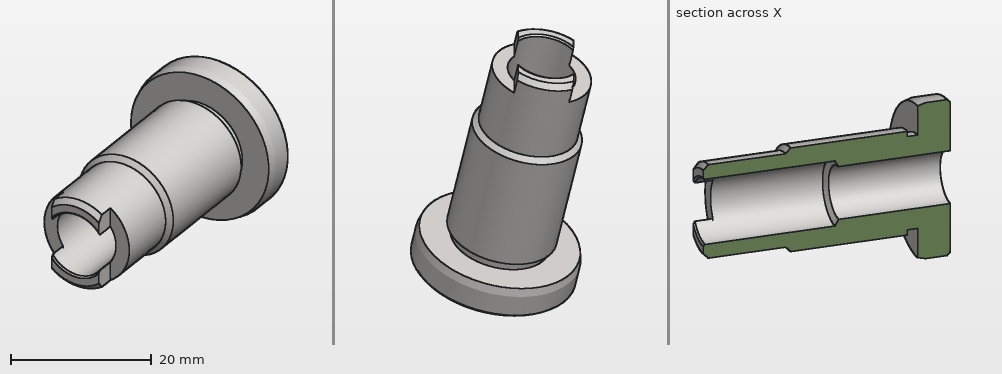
import cadquery as cq
import math

length = 37.5
head_length = 5.0
neck_length = 1.55
body_end = 25.0
body_chamfer = 0.8
floor_station = 34.5

head_radius = 12.0
body_radius = 8.0
spigot_radius = body_radius - body_chamfer

head_back_chamfer = 0.5
head_taper_length = 1.25
head_taper_angle = 15.0
tip_chamfer = 0.8
bore_chamfer = 0.25

wide_bore_radius = 4.95
back_hole_radius = 4.0
wide_bore_depth = 20.0
cone_angle = 59.0

tongue_width = 8.0


def turned_body():
    """Revolve the half section (radius, station) about the axis."""
    head_taper = head_taper_length * math.tan(math.radians(head_taper_angle))
    cone_length = (wide_bore_radius - back_hole_radius) / math.tan(math.radians(cone_angle))
    cone_start = length - wide_bore_depth
    section = [
        (back_hole_radius, 0),
        (head_radius - head_back_chamfer, 0),
        (head_radius, head_back_chamfer),
        (head_radius, head_length - head_taper_length),
        (head_radius - head_taper, head_length),
        (spigot_radius, head_length),
        (spigot_radius, head_length + neck_length),
        (body_radius, head_length + neck_length),
        (body_radius, body_end - body_chamfer),
        (spigot_radius, body_end),
        (spigot_radius, length - tip_chamfer),
        (spigot_radius - tip_chamfer, length),
        (wide_bore_radius + bore_chamfer, length),
        (wide_bore_radius, length - bore_chamfer),
        (wide_bore_radius, cone_start),
        (back_hole_radius, cone_start - cone_length),
    ]
    return cq.Workplane("XY").polyline(section).close().revolve(360, (0, 0, 0), (0, 1, 0))


def tongue_side_cut(side):
    """Material removed beside the tongues, on the +X (1) or -X (-1) side."""
    cut_width = head_radius
    cut_length = length - floor_station
    return cq.Workplane("XY").box(cut_width, cut_length, 2 * head_radius).translate(
        (side * (tongue_width + cut_width) / 2, floor_station + cut_length / 2, 0)
    )


shaft = turned_body()
for side in (-1, 1):
    shaft = shaft.cut(tongue_side_cut(side))

result = shaft.rotate((0, 0, 0), (0, 0, 1), 180).translate((0, length / 2, 0))